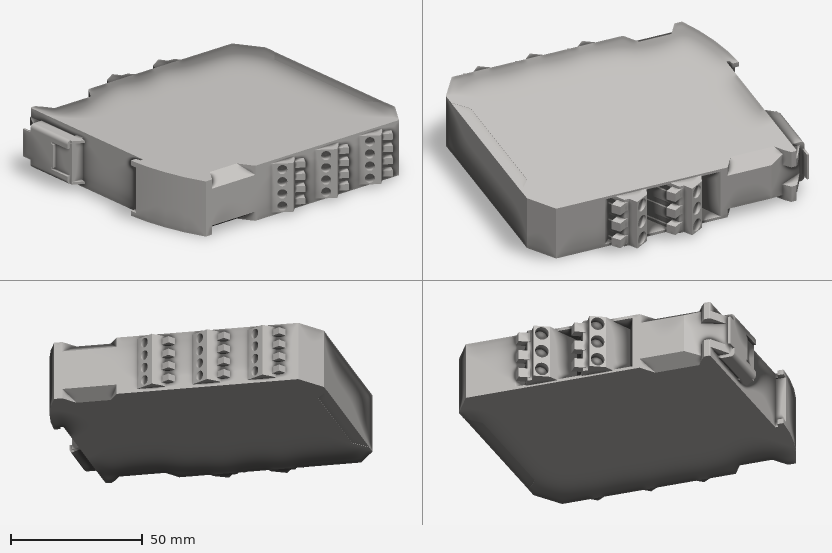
import cadquery as cq
import math


width = 99.0
height = 106.9
overall_length = 113.6
thickness = 22.6
half_thickness = thickness / 2
corner_x = 11.1
corner_y = 7.3
foot_chamfer = 0.5

waist_top_y = 10.6
waist_x = 2.8
waist_y = 4.8
foot_top_y = 2.4
tongue_width = 8.7
tongue_end_y = -5.5

hook_x = 64.8
hook_root_x = 67.0
hook_lip_y = -1.1
hook_top_y = -1.7
hook_y = -4.2
hook_mid = (81.6, -1.8)
hook_end_y = 4.3
hook_relief_x = 67.7
hook_relief_width = 18.6

bevel_run = 6.2
bevel_depth = 3.7
bevel_taper = 4.0
bevel_top_y = 28.7
left_bevel_low_y = 2.8
right_bevel_low_y = 7.5
panel_depth = 0.1
panel_height = 5.2
panel_outer_inset = 16.2
panel_inner_inset = 22.7

left_roots_y = (75.2, 52.5)
left_shoulder = (-3.7, -2.2)
left_step = (-3.7, -4.1)
left_tip = (-7.0, -6.0)
left_chin = (-3.7, -11.5)
left_base_y = -13.0
left_block_width = 21.1
left_lever = [(-6.0, 0.5), (-3.0, 2.8), (-1.0, -0.3), (-1.0, -3.4), (-4.1, -3.4), (-4.1, -2.7)]
left_lever_width = 3.7
left_count = 3
left_pitch = 7.5
left_hole_diameter = 5.2

right_roots_y = (91.2, 69.6, 48.0)
right_shoulder = (1.8, -1.4)
right_tip = (4.8, -4.4)
right_base_y = -11.5
right_block_width = 20.0
right_lever = [(0, 2.2), (1.1, 3.6), (4.1, 1.9), (1.8, -1.4), (0, -0.6)]
right_lever_width = 2.5
right_count = 4
right_pitch = 5.0
right_hole_diameter = 3.7

wire_hole_depth = 3.9
embed = 0.6

pocket_width = 20.3
pocket_top_y = 79.5
pocket_top_slope = -0.9
pocket_low_y = 31.6
pocket_low_slope = 0.5
shoulder_slope = left_shoulder[1] / left_shoulder[0]
chin_slope = (left_base_y - left_chin[1]) / -left_chin[0]
lever_groove_drop = 0.9
lever_groove_width = 2.8

latch_y = height - overall_length
sleeve_x = 8.3
sleeve_end_x = 30.2
sleeve_width = 17.8
sleeve_round = 1.6
lip_end_x = 28.0
lip_height = 1.4
lip_inset = 0.7
slider_end_x = 31.5
slider_y = -5.5
slider_width = 15.7
prong_thickness = 1.0
prong_base_y = -0.8
prong_tip = (34.1, -1.4)
prong_low_y = -4.7
tab_x = 3.9
tab_width = 11.2
tab_thickness = 0.9
slot_x = 21.8
slot_width = 9.5
slot_notch = 1.2
wedge_width = 15.2
wedge_y = -4.8


def plate(points, depth, z_mid=0):
    """Extrude an XY outline by depth, centred on z_mid."""
    outline = cq.Workplane("XY").workplane(offset=z_mid - depth / 2).polyline(points).close()
    return outline.extrude(depth)


def box(x0, x1, y0, y1, depth):
    """Block between two XY corners, centred on Z = 0."""
    return plate([(x0, y0), (x1, y0), (x1, y1), (x0, y1)], depth)


def shifted(points, dx, dy):
    """Move a list of XY points."""
    return [(x + dx, y + dy) for x, y in points]


def row_positions(count, pitch):
    """Evenly spaced Z positions centred on the mid plane."""
    return [(i - (count - 1) / 2) * pitch for i in range(count)]


def mirrored(solid):
    """A solid together with its copy on the other large face."""
    return solid.union(solid.mirror("XY"))


def make_housing():
    outline = (
        cq.Workplane("XY")
        .workplane(offset=-half_thickness)
        .moveTo(foot_chamfer, 0)
        .lineTo(hook_root_x, 0)
        .lineTo(hook_root_x, hook_lip_y)
        .lineTo(hook_x, hook_top_y)
        .lineTo(hook_x, hook_y)
        .threePointArc(hook_mid, (width, hook_end_y))
        .lineTo(width, height - corner_y)
        .lineTo(width - corner_x, height)
        .lineTo(corner_x, height)
        .lineTo(0, height - corner_y)
        .lineTo(0, waist_top_y)
        .lineTo(waist_x, waist_y)
        .lineTo(0, foot_top_y)
        .lineTo(0, foot_chamfer)
        .close()
    )
    hook_relief = box(hook_x, hook_relief_x, hook_y, 0, hook_relief_width)
    return outline.extrude(thickness).cut(hook_relief)


def edge_bevel(low_y):
    """Sloping relief beside the left wall, deepest at the wall, on the upper face."""
    outline = [
        (0, low_y),
        (bevel_run, low_y + bevel_taper),
        (bevel_run, bevel_top_y - bevel_taper),
        (0, bevel_top_y),
    ]
    prism = plate(outline, bevel_depth, half_thickness - bevel_depth / 2)
    slope = (
        cq.Workplane("XZ")
        .polyline([
            (0, half_thickness),
            (0, half_thickness - bevel_depth),
            (bevel_run, half_thickness),
        ])
        .close()
        .extrude(-height)
    )
    return prism.intersect(slope)


def make_reliefs():
    """Side bevels and shallow top panels of both large faces."""
    left = edge_bevel(left_bevel_low_y)
    right = edge_bevel(right_bevel_low_y).mirror("YZ").translate((width, 0, 0))
    panel = plate(
        [
            (panel_outer_inset, height),
            (panel_inner_inset, height - panel_height),
            (width - panel_inner_inset, height - panel_height),
            (width - panel_outer_inset, height),
        ],
        panel_depth,
        half_thickness - panel_depth / 2,
    )
    return mirrored(left.union(right).union(panel))


def notch(upper_y, upper_slope, lower_y, lower_slope, depth, z_mid=0):
    """V notch in the left wall between two sloping sides."""
    root_x = (upper_y - lower_y) / (lower_slope - upper_slope)
    root = (root_x, lower_y + lower_slope * root_x)
    return plate([(0, upper_y), root, (0, lower_y)], depth, z_mid)


def make_pocket():
    """Notches above, between and below the left blocks, with a groove behind each lever."""
    upper_sides = [
        (pocket_top_y, pocket_top_slope),
        (left_roots_y[0] + left_base_y, chin_slope),
    ]
    low_side_y = left_roots_y[1] + left_base_y
    pocket = notch(low_side_y, chin_slope, pocket_low_y, pocket_low_slope, pocket_width)
    for (upper_y, upper_slope), root_y in zip(upper_sides, left_roots_y):
        pocket = pocket.union(notch(upper_y, upper_slope, root_y, shoulder_slope, pocket_width))
        for z in row_positions(left_count, left_pitch):
            groove_y = root_y - lever_groove_drop
            groove = notch(upper_y, upper_slope, groove_y, shoulder_slope, lever_groove_width, z)
            pocket = pocket.union(groove)
    return pocket


def wire_hole(face_start, face_end, diameter, z):
    """Blind hole square to the block face running between two XY points."""
    dx = face_end[0] - face_start[0]
    dy = face_end[1] - face_start[1]
    length = math.hypot(dx, dy)
    centre = cq.Vector(face_start[0] + dx / 2, face_start[1] + dy / 2, z)
    side = math.copysign(1, dx)
    inward = cq.Vector(-side * dy / length, side * dx / length, 0)
    return cq.Workplane(cq.Solid.makeCylinder(diameter / 2, wire_hole_depth, centre, inward))


def left_terminal(root_y):
    block = plate(
        [
            (0, 0),
            left_shoulder,
            left_step,
            left_tip,
            left_chin,
            (0, left_base_y),
            (embed, left_base_y + embed),
            (embed, 0),
        ],
        left_block_width,
    )
    for z in row_positions(left_count, left_pitch):
        block = block.union(plate(left_lever, left_lever_width, z))
    return block.translate((0, root_y, 0))


def right_terminal(root_y):
    block = plate([(0, 0), right_shoulder, right_tip, (0, right_base_y)], right_block_width)
    block = block.union(box(-embed, 0, right_base_y, 0, right_block_width))
    for z in row_positions(right_count, right_pitch):
        block = block.union(plate(right_lever, right_lever_width, z))
    return block.translate((width, root_y, 0))


def make_wire_holes():
    holes = []
    for root_y in left_roots_y:
        start, end = shifted([left_tip, left_chin], 0, root_y)
        for z in row_positions(left_count, left_pitch):
            holes.append(wire_hole(start, end, left_hole_diameter, z))
    for root_y in right_roots_y:
        start, end = shifted([right_tip, (0, right_base_y)], width, root_y)
        for z in row_positions(right_count, right_pitch):
            holes.append(wire_hole(start, end, right_hole_diameter, z))
    return holes


def make_sleeve():
    """Rounded sleeve with an undercut root and a slot that bares the slider."""
    half = sleeve_width / 2
    sleeve = box(sleeve_x, sleeve_end_x, latch_y, 0, sleeve_width)
    sleeve = sleeve.edges("|X and <Y").fillet(sleeve_round)
    undercut = (
        cq.Workplane("YZ")
        .workplane(offset=sleeve_x)
        .polyline([(-lip_height, half), (0, half), (0, half - lip_inset)])
        .close()
        .extrude(lip_end_x - sleeve_x)
    )
    slot = box(slot_x, sleeve_end_x, latch_y, slider_y, tab_width)
    for side in (-1, 1):
        z = side * (tab_width + slot_width) / 4
        corner = [
            (slot_x - slot_notch, latch_y),
            (slot_x, latch_y),
            (slot_x, slider_y),
            (slot_x - slot_notch, slider_y),
        ]
        slot = slot.union(plate(corner, (tab_width - slot_width) / 2, z))
    return sleeve.cut(mirrored(undercut)).cut(slot)


def make_latch():
    """Sleeve, slider with two hooked prongs, pull tab and bracing wedge."""
    slider = box(sleeve_x, slider_end_x, slider_y, embed, slider_width)
    prong = plate(
        [
            (sleeve_end_x - embed, slider_y),
            (slider_end_x, slider_y),
            (slider_end_x, prong_low_y),
            prong_tip,
            (slider_end_x, prong_base_y),
            (slider_end_x, 0),
            (sleeve_end_x - embed, 0),
        ],
        prong_thickness,
        (sleeve_width - prong_thickness) / 2,
    )
    tab = box(tab_x, sleeve_x + embed, latch_y, latch_y + tab_thickness, tab_width)
    wedge_base = sleeve_x + embed
    wedge = plate([(0, 0), (sleeve_x, wedge_y), (wedge_base, wedge_y), (wedge_base, 0)], wedge_width)
    return make_sleeve().union(slider).union(mirrored(prong)).union(tab).union(wedge)


def make_tongue_groove():
    """Sloping groove that carries the waist slope on through the foot and wedge."""
    end_x = waist_x * (waist_top_y - tongue_end_y) / (waist_top_y - waist_y)
    return plate([(0, waist_top_y), (end_x, tongue_end_y), (0, tongue_end_y)], tongue_width)


result = make_housing().cut(make_reliefs()).cut(make_pocket())
for block_y in left_roots_y:
    result = result.union(left_terminal(block_y))
for block_y in right_roots_y:
    result = result.union(right_terminal(block_y))
result = result.union(make_latch()).cut(make_tongue_groove())
for hole in make_wire_holes():
    result = result.cut(hole)